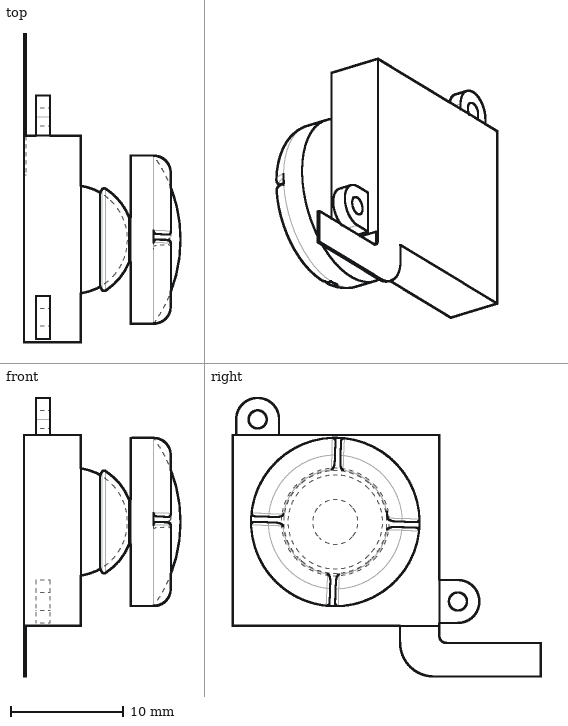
import cadquery as cq
import math

BOX_DEPTH = 5.07
BOX_WIDTH = 18.39
BOX_HEIGHT = 17.0

LUG_RADIUS = 1.92
LUG_HOLE_DIAMETER = 1.6
LUG_THICKNESS = 1.25
LUG_BACK_X = 1.07
TOP_LUG_Y = 2.22
TOP_LUG_HOLE_HEIGHT = 1.37
SIDE_LUG_Z = 2.16
SIDE_LUG_HOLE_REACH = 1.65

TAIL_THICKNESS = 0.2
TAIL_END_Y = 27.4
TAIL_LEG_WIDTH = 3.5
TAIL_ARM_WIDTH = 3.01
TAIL_DROP = 4.52
TAIL_OUTER_RADIUS = TAIL_ARM_WIDTH
TAIL_INNER_RADIUS = 0.6

AXIS_Y = 9.12
AXIS_Z = 9.23

DOME_CENTRE_X = 4.35
DOME_RADIUS = 4.85
SKIRT_RADIUS = 5.4
SKIRT_HALF_ANGLE = math.radians(60)
SKIRT_RIM_FILLET = 0.25
STEM_RADIUS = 4.0 / 2

CAP_RADIUS = 15.0 / 2
CAP_BACK_X = 9.5
CROWN_EDGE_X = 11.54
RIM_FACE_X = 13.07
CROWN_TOP_X = 13.95
CROWN_HEIGHT = CROWN_TOP_X - CROWN_EDGE_X
CROWN_RADIUS = (CAP_RADIUS**2 + CROWN_HEIGHT**2) / (2 * CROWN_HEIGHT)
RIM_FILLET = RIM_FACE_X - CROWN_EDGE_X

SLOT_COUNT = 4
SLOT_WIDTH = 0.5
SLOT_EDGE_FILLET = 0.27
SLOT_TURN = 2.1


def on_dome_sphere(radius, angle):
    """Profile point (X, distance from the axis) on a sphere about the dome centre."""
    return (DOME_CENTRE_X + radius * math.cos(angle), radius * math.sin(angle))


def revolve_about_x(profile):
    return profile.close().revolve(360, (0, 0, 0), (1, 0, 0))


def make_lug(hole_height):
    """Lug standing on the origin along +Z, with its round end about the hole."""
    outline = (
        cq.Workplane("YZ")
        .moveTo(-LUG_RADIUS, 0)
        .lineTo(LUG_RADIUS, 0)
        .lineTo(LUG_RADIUS, hole_height)
        .threePointArc((0, hole_height + LUG_RADIUS), (-LUG_RADIUS, hole_height))
        .close()
    )
    lug = outline.extrude(LUG_THICKNESS)
    hole = cq.Workplane("YZ").center(0, hole_height).circle(LUG_HOLE_DIAMETER / 2).extrude(LUG_THICKNESS)
    return lug.cut(hole)


def make_tail():
    """Leg running down from the box corner, then bending into an arm towards +Y."""
    leg_y = BOX_WIDTH - TAIL_LEG_WIDTH
    arm_top_z = TAIL_ARM_WIDTH - TAIL_DROP
    tail = (
        cq.Workplane("YZ")
        .polyline([
            (leg_y, 0),
            (leg_y, -TAIL_DROP),
            (TAIL_END_Y, -TAIL_DROP),
            (TAIL_END_Y, arm_top_z),
            (BOX_WIDTH, arm_top_z),
            (BOX_WIDTH, 0),
        ])
        .close()
        .extrude(TAIL_THICKNESS)
    )
    outer_bend = cq.selectors.NearestToPointSelector((TAIL_THICKNESS / 2, leg_y, -TAIL_DROP))
    inner_bend = cq.selectors.NearestToPointSelector((TAIL_THICKNESS / 2, BOX_WIDTH, arm_top_z))
    tail = tail.edges("|X").edges(outer_bend).fillet(TAIL_OUTER_RADIUS)
    return tail.edges("|X").edges(inner_bend).fillet(TAIL_INNER_RADIUS)


def make_dome():
    """Part of a sphere that stands out of the front of the box."""
    box_angle = math.acos((BOX_DEPTH - DOME_CENTRE_X) / DOME_RADIUS)
    profile = (
        cq.Workplane("XY")
        .moveTo(BOX_DEPTH, 0)
        .lineTo(*on_dome_sphere(DOME_RADIUS, box_angle))
        .threePointArc(on_dome_sphere(DOME_RADIUS, box_angle / 2), on_dome_sphere(DOME_RADIUS, 0))
    )
    return revolve_about_x(profile).translate((0, AXIS_Y, AXIS_Z))


def make_housing():
    box = cq.Workplane("XY").box(BOX_DEPTH, BOX_WIDTH, BOX_HEIGHT, centered=False)
    top_lug = make_lug(TOP_LUG_HOLE_HEIGHT).translate((LUG_BACK_X, TOP_LUG_Y, BOX_HEIGHT))
    side_lug = (
        make_lug(SIDE_LUG_HOLE_REACH)
        .rotate((0, 0, 0), (1, 0, 0), -90)
        .translate((LUG_BACK_X, BOX_WIDTH, SIDE_LUG_Z))
    )
    return box.union(top_lug).union(side_lug).union(make_tail()).union(make_dome())


def make_skirt_and_stem():
    """Spherical cup over the dome, with the stem that joins it to the cap."""
    stem_angle = math.asin(STEM_RADIUS / SKIRT_RADIUS)
    outer_mid_angle = (stem_angle + SKIRT_HALF_ANGLE) / 2
    profile = (
        cq.Workplane("XY")
        .moveTo(*on_dome_sphere(DOME_RADIUS, 0))
        .threePointArc(
            on_dome_sphere(DOME_RADIUS, SKIRT_HALF_ANGLE / 2),
            on_dome_sphere(DOME_RADIUS, SKIRT_HALF_ANGLE),
        )
        .lineTo(*on_dome_sphere(SKIRT_RADIUS, SKIRT_HALF_ANGLE))
        .threePointArc(
            on_dome_sphere(SKIRT_RADIUS, outer_mid_angle),
            on_dome_sphere(SKIRT_RADIUS, stem_angle),
        )
        .lineTo(CAP_BACK_X, STEM_RADIUS)
        .lineTo(CAP_BACK_X, 0)
    )
    skirt = revolve_about_x(profile)
    rim_x, rim_radius = on_dome_sphere(SKIRT_RADIUS, SKIRT_HALF_ANGLE)
    margin = SKIRT_RIM_FILLET / 2
    rim_edge = cq.selectors.BoxSelector(
        (rim_x - margin, -rim_radius - margin, -rim_radius - margin),
        (rim_x + margin, rim_radius + margin, rim_radius + margin),
        boundingbox=True,
    )
    return skirt.edges(rim_edge).fillet(SKIRT_RIM_FILLET)


def make_crowned_disc():
    """Disc whose front is a spherical crown reaching its edge."""
    crown_centre_x = CROWN_TOP_X - CROWN_RADIUS
    half_angle = math.asin(CAP_RADIUS / CROWN_RADIUS) / 2
    crown_mid = (
        crown_centre_x + CROWN_RADIUS * math.cos(half_angle),
        CROWN_RADIUS * math.sin(half_angle),
    )
    profile = (
        cq.Workplane("XY")
        .moveTo(CAP_BACK_X, 0)
        .lineTo(CAP_BACK_X, CAP_RADIUS)
        .lineTo(CROWN_EDGE_X, CAP_RADIUS)
        .threePointArc(crown_mid, (CROWN_TOP_X, 0))
    )
    return revolve_about_x(profile)


def make_slotted_rim():
    """Round-edged disc with edge-rounded slots; the crowned disc later fills its lower part."""
    rim = (
        cq.Workplane("YZ", origin=(CAP_BACK_X, 0, 0))
        .circle(CAP_RADIUS)
        .extrude(RIM_FACE_X - CAP_BACK_X)
        .faces(">X")
        .edges()
        .fillet(RIM_FILLET)
    )
    slot_length = CAP_RADIUS - STEM_RADIUS
    for number in range(SLOT_COUNT):
        slot = (
            cq.Workplane("XY")
            .box(RIM_FACE_X, slot_length, SLOT_WIDTH)
            .translate((CAP_BACK_X + RIM_FACE_X / 2, -STEM_RADIUS - slot_length / 2, 0))
            .rotate((0, 0, 0), (1, 0, 0), -SLOT_TURN - number * 360 / SLOT_COUNT)
        )
        rim = rim.cut(slot)
    rim = rim.edges("%BSPLINE").fillet(SLOT_EDGE_FILLET)
    base = cq.Workplane("YZ", origin=(CAP_BACK_X, 0, 0)).circle(CAP_RADIUS).extrude(CROWN_EDGE_X - CAP_BACK_X)
    return rim.cut(base)


def make_stick():
    stick = make_slotted_rim().union(make_crowned_disc()).union(make_skirt_and_stem())
    return stick.translate((0, AXIS_Y, AXIS_Z))


housing = make_housing()
stick = make_stick()
result = cq.Compound.makeCompound([housing.val(), stick.val()])